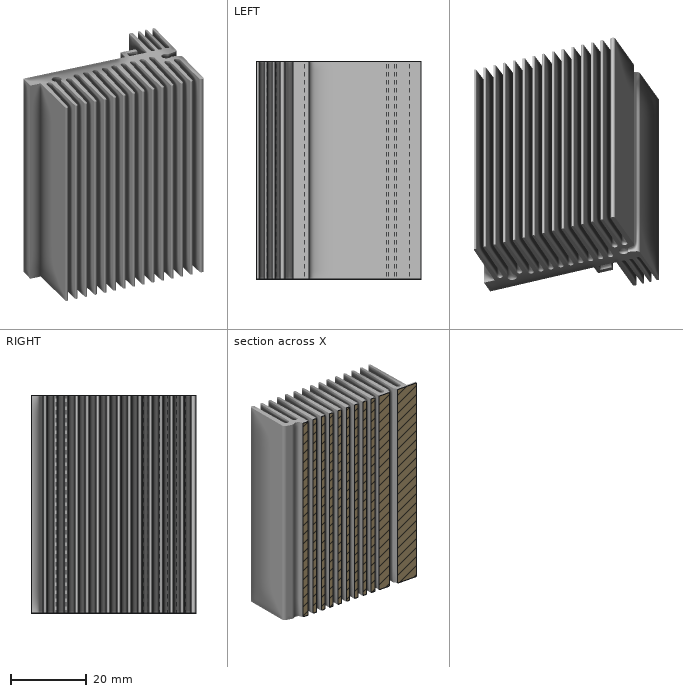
import cadquery as cq
import math


LENGTH = 58.0
PROFILE_HEIGHT = 43.8
LEFT_REACH = 12.0
RIGHT_REACH = 20.0
FOOT_WIDTH = 4.4

RIGHT_SLOT_COUNT = 14
RIGHT_PITCH = 2.805
FIRST_RIGHT_SLOT_Y = -2.25
RIGHT_MOUTH_HALF_WIDTH = 1.035
RIGHT_DRAFT = math.tan(math.radians(1.0))
RIGHT_TIP_THICKNESS = RIGHT_PITCH - 2 * RIGHT_MOUTH_HALF_WIDTH

UPPER_SLOTS = (0, 1)
UPPER_FLOOR_X = 6.53
LOWER_SLOTS = (11, 13)
LOWER_FLOOR_X = 4.85
BORE_SLOT = 12
WEB_FLOOR_START_X = 2.74
WEB_FLOOR_STEP = 0.11

LEFT_SLOT_COUNT = 3
LEFT_PITCH = 2.09
FIRST_LEFT_SLOT_Y = -1.52
LEFT_MOUTH_HALF_WIDTH = 0.74
LEFT_DRAFT = math.tan(math.radians(0.5))
LEFT_BLOCK_HEIGHT = 7.57

SCREW_X = 4.0
CHANNEL_CENTER_Y = -3.85
NECK_Y = -2.5
NECK_HALF_WIDTH = 0.83
CHANNEL_MOUTH_HALF_WIDTH = 1.45
CHANNEL_MOUTH_RADIUS = 1.0
SCREW_RADIUS = 1.3
BORE_LIP_RADIUS = 0.5

HOOK_REACH = 2.95
HOOK_WALL = 1.2
HOOK_TOP_Y = -9.7
HOOK_BOTTOM_Y = -14.0


def right_slot_y(index):
    return FIRST_RIGHT_SLOT_Y - index * RIGHT_PITCH


def left_slot_y(index):
    return FIRST_LEFT_SLOT_Y - index * LEFT_PITCH


def right_slot_floor(index):
    if index in UPPER_SLOTS:
        return UPPER_FLOOR_X
    if index in LOWER_SLOTS:
        return LOWER_FLOOR_X
    if index == BORE_SLOT:
        return SCREW_X
    return WEB_FLOOR_START_X + (index - len(UPPER_SLOTS)) * WEB_FLOOR_STEP


def round_end(path, end_x, outward, start_y, end_y):
    """Run the outline to and around a full round that touches end_x."""
    round_x = end_x - outward * abs(end_y - start_y) / 2
    middle = (end_x, (start_y + end_y) / 2)
    return path.lineTo(round_x, start_y).threePointArc(middle, (round_x, end_y))


def left_fins(path):
    """Outline of the left fins, from the lowest fin up to the top face."""
    fin_start_y = -LEFT_BLOCK_HEIGHT
    floor_half_width = LEFT_MOUTH_HALF_WIDTH - LEFT_DRAFT * LEFT_REACH
    for index in reversed(range(LEFT_SLOT_COUNT)):
        slot_y = left_slot_y(index)
        path = round_end(path, -LEFT_REACH, -1, fin_start_y, slot_y - LEFT_MOUTH_HALF_WIDTH)
        path = round_end(path, 0, 1, slot_y - floor_half_width, slot_y + floor_half_width)
        fin_start_y = slot_y + LEFT_MOUTH_HALF_WIDTH
    return round_end(path, -LEFT_REACH, -1, fin_start_y, 0)


def right_fins(path):
    """Outline of the right fins, from the top face down to the foot."""
    fin_start_y = 0
    for index in range(RIGHT_SLOT_COUNT):
        slot_y = right_slot_y(index)
        floor_x = right_slot_floor(index)
        floor_half_width = RIGHT_MOUTH_HALF_WIDTH - RIGHT_DRAFT * (RIGHT_REACH - floor_x)
        path = round_end(path, RIGHT_REACH, 1, fin_start_y, slot_y + RIGHT_MOUTH_HALF_WIDTH)
        path = round_end(path, floor_x, -1, slot_y + floor_half_width, slot_y - floor_half_width)
        fin_start_y = slot_y - RIGHT_MOUTH_HALF_WIDTH
    last_tip_y = fin_start_y - RIGHT_TIP_THICKNESS
    foot_y = last_tip_y - RIGHT_DRAFT * (RIGHT_REACH - FOOT_WIDTH)
    path = round_end(path, RIGHT_REACH, 1, fin_start_y, last_tip_y)
    return path.lineTo(FOOT_WIDTH, foot_y)


def hook(path):
    """Outline of the L-shaped hook, from its lower face up to the web."""
    inner_x = HOOK_WALL - HOOK_REACH
    inner_y = HOOK_BOTTOM_Y + HOOK_WALL
    return (
        path.lineTo(0, HOOK_BOTTOM_Y)
        .lineTo(-HOOK_REACH, HOOK_BOTTOM_Y)
        .lineTo(-HOOK_REACH, HOOK_TOP_Y)
        .lineTo(inner_x, HOOK_TOP_Y)
        .lineTo(inner_x, inner_y)
        .lineTo(0, inner_y)
    )


def finned_profile():
    path = cq.Workplane("XY").moveTo(0, -PROFILE_HEIGHT)
    path = hook(path).lineTo(0, -LEFT_BLOCK_HEIGHT)
    path = left_fins(path)
    path = right_fins(path)
    path = path.lineTo(FOOT_WIDTH, -PROFILE_HEIGHT)
    return path.close().extrude(LENGTH)


def cylinder(x, y, radius):
    return cq.Workplane("XY").center(x, y).circle(radius).extrude(LENGTH)


def fillet_upright_edge(body, x, y, radius):
    """Fillet the edge along Z that passes through (x, y)."""
    edge = cq.selectors.NearestToPointSelector((x, y, LENGTH / 2))
    return body.edges(edge).fillet(radius)


def cut_screw_channel(body):
    """Round channel, open to the top face through a neck that flares outward."""
    neck = [
        (SCREW_X - CHANNEL_MOUTH_HALF_WIDTH, 0),
        (SCREW_X - NECK_HALF_WIDTH, NECK_Y),
        (SCREW_X - NECK_HALF_WIDTH, CHANNEL_CENTER_Y),
        (SCREW_X + NECK_HALF_WIDTH, CHANNEL_CENTER_Y),
        (SCREW_X + NECK_HALF_WIDTH, NECK_Y),
        (SCREW_X + CHANNEL_MOUTH_HALF_WIDTH, 0),
    ]
    body = body.cut(cq.Workplane("XY").polyline(neck).close().extrude(LENGTH))
    body = body.cut(cylinder(SCREW_X, CHANNEL_CENTER_Y, SCREW_RADIUS))
    for side in (-1, 1):
        corner_x = SCREW_X + side * CHANNEL_MOUTH_HALF_WIDTH
        body = fillet_upright_edge(body, corner_x, 0, CHANNEL_MOUTH_RADIUS)
    return body


def cut_screw_bore(body):
    """Round bore at the floor of one slot, with its two lips rounded."""
    bore_y = right_slot_y(BORE_SLOT)
    lip_half_gap = RIGHT_MOUTH_HALF_WIDTH - RIGHT_DRAFT * (RIGHT_REACH - SCREW_X - SCREW_RADIUS)
    lip_x = SCREW_X + math.sqrt(SCREW_RADIUS**2 - lip_half_gap**2)
    body = body.cut(cylinder(SCREW_X, bore_y, SCREW_RADIUS))
    for side in (-1, 1):
        body = fillet_upright_edge(body, lip_x, bore_y + side * lip_half_gap, BORE_LIP_RADIUS)
    return body


result = finned_profile()
result = cut_screw_channel(result)
result = cut_screw_bore(result)